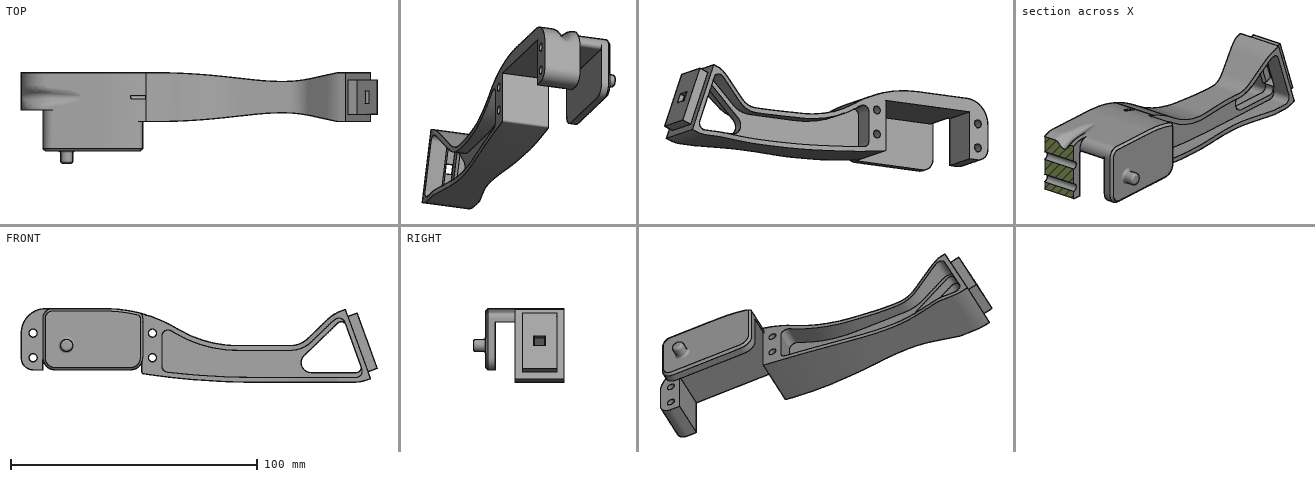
import cadquery as cq
import math

REACH = 0.5

TOTAL_LENGTH = 144.74
TOTAL_WIDTH = 36.9
TOTAL_HEIGHT = 30.0

ARM_WIDTH = 20.0
ARM_MID_Y = -ARM_WIDTH / 2
END_BLOCK_WIDTH = 15.25
WINDOW_LEFT = 8.8
WINDOW_RIGHT = 49.0
WINDOW_TOP = 24.5
ARM_CORNER_RADIUS = 0.8
BLOCK_BOTTOM = 5.0
BLOCK_TOP_RADIUS = 10.0
BLOCK_BOTTOM_RADIUS = 5.0

SCREW_DIAMETER = 3.2
SCREW_XS = (4.85, 53.35)
SCREW_ZS = (10.0, 20.0)

PIN_LENGTH = 5.0
PLATE_FRONT_Y = PIN_LENGTH - TOTAL_WIDTH
PLATE_THICKNESS = 4.0
PLATE_BACK_Y = PLATE_FRONT_Y + PLATE_THICKNESS
PLATE_RIGHT = 49.42
PLATE_TOP_RADIUS = 4.0
PLATE_SMALL_RADIUS = 2.3
PLATE_BOTTOM_RADIUS = 5.0
PLATE_RIM = 1.0
BRIDGE_UNDERSIDE_RADIUS = 1.5

PIN_X = 18.5
PIN_Z = 15.0
PIN_DIAMETER = 5.0
PIN_ROUNDING = 1.0

CREST_START_X = 34.1
CREST_RADIUS = 56.6
CREST_ANGLE = math.radians(30)
SAG_RADIUS = 50.0
NECK_START_X = 88.6
NECK_END_X = 109.5
NECK_Z = 15.0
HEEL_INNER_RADIUS = 10.0
HEEL_OUTER_RADIUS = 15.0
HEEL_ANGLE = math.radians(44)
BELLY_START_X = 95.0
BELLY_RADIUS = 300.0

LEAN = math.radians(20)
FLANGE_LENGTH = 30.0
FLANGE_TOP_Z = 29.65
FLANGE_LIP = 2.0
TOE_RADIUS = 15.0
TAB_MARGIN = 3.0
TAB_LENGTH = FLANGE_LENGTH - 2 * TAB_MARGIN
TAB_WIDTH = 14.0
TAB_THICKNESS = 4.0

CAVITY_LENGTH = 16.0
CAVITY_WIDTH = 4.0
CAVITY_CHAMFER = 1.0
CAVITY_DEPTH = 4.0
TAB_WINDOW_LENGTH = 4.0
TAB_WINDOW_WIDTH = 5.0

WAIST_START_X = 53.2
WAIST_TAPER_START_X = 82.5
WAIST_TAPER_END_X = 94.8
WAIST_MID_X = 106.5
WAIST_FLARE_START_X = 116.8
WAIST_FLARE_END_X = 128.7
WAIST_TAPER_START_HALF = 8.4
WAIST_TAPER_END_HALF = 7.05
WAIST_MID_HALF = 6.4
WAIST_FLARE_START_HALF = 7.4

RIM = 2.0
RECESS_LEFT = 57.2
RECESS_RADIUS = 2.5
WEB_THICKNESS = 4.0
OPENING_MARGIN = 4.0
OPENING_LEFT_RADIUS = 4.0
OPENING_RADIUS = 2.0

GROOVE_RADIUS = 2.5
GROOVE_EDGE_RADIUS = 3.0
GROOVE_TIP_X = 25.0
GROOVE_BEND_X = 11.6
GROOVE_SLOPE = math.radians(7)
GROOVE_BEND_RADIUS = 20.0
GROOVE_BEND_ANGLE = math.radians(55)
GROOVE_LEAD = 10.0

CHANNEL_DIAMETER = 1.5
CHANNEL_START_X = 45.1
CHANNEL_AXIS_LIFT = 0.35
CHANNEL_END_X = 50.7
LEDGE_END_X = 52.0
LEDGE_DEPTH = 0.15



def shifted(point, distance, angle):
    """Point moved by a distance in the direction of an angle, in the XZ plane."""
    return (point[0] + distance * math.cos(angle), point[1] + distance * math.sin(angle))


def arc_run(radius, flat_angle, steep_angle):
    """Run and rise along an arc whose slope changes between two angles."""
    run = radius * (math.sin(steep_angle) - math.sin(flat_angle))
    rise = radius * (math.cos(flat_angle) - math.cos(steep_angle))
    return run, rise


def crossing(point_a, angle_a, point_b, angle_b):
    """Point where two lines in the XZ plane cross."""
    gap_x = point_b[0] - point_a[0]
    gap_z = point_b[1] - point_a[1]
    span = math.sin(angle_b - angle_a)
    return shifted(point_a, (gap_x * math.sin(angle_b) - gap_z * math.cos(angle_b)) / span, angle_a)


DOWN_FLANGE = LEAN - math.pi / 2
FLANGE_TOP_X = (TOTAL_LENGTH - (FLANGE_LENGTH - TAB_MARGIN) * math.sin(LEAN)
                - TAB_THICKNESS * math.cos(LEAN))
FLANGE_TOP = (FLANGE_TOP_X, FLANGE_TOP_Z)
FLANGE_BOTTOM = shifted(FLANGE_TOP, FLANGE_LENGTH, DOWN_FLANGE)

CREST_RUN, CREST_DROP = arc_run(CREST_RADIUS, 0, CREST_ANGLE)
CREST_END = (CREST_START_X + CREST_RUN, TOTAL_HEIGHT - CREST_DROP)
SAG_RUN, SAG_DROP = arc_run(SAG_RADIUS, 0, CREST_ANGLE)
SAG_START = (NECK_START_X - SAG_RUN, NECK_Z + SAG_DROP)
HEEL_INNER_RUN, HEEL_INNER_RISE = arc_run(HEEL_INNER_RADIUS, 0, HEEL_ANGLE)
HEEL_START = (NECK_END_X + HEEL_INNER_RUN, NECK_Z + HEEL_INNER_RISE)
HEEL_ARC_END = shifted(FLANGE_TOP, -FLANGE_LIP, LEAN)
HEEL_OUTER_RUN, HEEL_OUTER_RISE = arc_run(HEEL_OUTER_RADIUS, LEAN, HEEL_ANGLE)
HEEL_END = (HEEL_ARC_END[0] - HEEL_OUTER_RUN, HEEL_ARC_END[1] - HEEL_OUTER_RISE)
TOE_RUN, TOE_RISE = arc_run(TOE_RADIUS, 0, LEAN)
TOE_ARC_END = shifted(FLANGE_BOTTOM, -(FLANGE_BOTTOM[1] - TOE_RISE) / math.sin(LEAN), LEAN)
TOE_START_X = TOE_ARC_END[0] - TOE_RUN


def belly_z(x):
    """Height of the arched underside of the arm."""
    return BELLY_RADIUS - math.sqrt(BELLY_RADIUS**2 - (BELLY_START_X - x) ** 2)


def crest_z(x):
    """Height of the crest where it falls towards the arm."""
    return TOTAL_HEIGHT - CREST_RADIUS + math.sqrt(CREST_RADIUS**2 - (x - CREST_START_X) ** 2)


def prism(sketch, front_y, back_y):
    """Closed XZ outline turned into a solid between two Y positions."""
    return sketch.extrude(back_y - front_y).translate((0, back_y, 0))


def corner_at(point):
    """Selector for the edges along Y that pass close to a point of the XZ plane."""
    x, z = point
    return cq.selectors.BoxSelector(
        (x - REACH, -TOTAL_WIDTH, z - REACH), (x + REACH, 0, z + REACH))


def arm_edge(sketch):
    """Continue an outline from the end of the crest, round the arm, to the belly's near tangent."""
    return (
        sketch.lineTo(*SAG_START)
        .tangentArcPoint((NECK_START_X, NECK_Z), relative=False)
        .lineTo(NECK_END_X, NECK_Z)
        .tangentArcPoint(HEEL_START, relative=False)
        .lineTo(*HEEL_END)
        .tangentArcPoint(HEEL_ARC_END, relative=False)
        .lineTo(*FLANGE_TOP)
        .lineTo(*FLANGE_BOTTOM)
        .lineTo(*TOE_ARC_END)
        .tangentArcPoint((TOE_START_X, 0), relative=False)
        .lineTo(BELLY_START_X, 0)
    )


def frame():
    """End block, bridge and arm in one outline, with the end block narrower than the arm."""
    corner = BLOCK_TOP_RADIUS
    sketch = (
        cq.Workplane("XZ")
        .moveTo(0, BLOCK_BOTTOM + BLOCK_BOTTOM_RADIUS)
        .lineTo(0, TOTAL_HEIGHT - corner)
        .tangentArcPoint((corner, TOTAL_HEIGHT), relative=False)
        .lineTo(CREST_START_X, TOTAL_HEIGHT)
        .tangentArcPoint(CREST_END, relative=False)
    )
    sketch = (
        arm_edge(sketch)
        .tangentArcPoint((WINDOW_RIGHT, belly_z(WINDOW_RIGHT)), relative=False)
        .lineTo(WINDOW_RIGHT, WINDOW_TOP)
        .lineTo(WINDOW_LEFT, WINDOW_TOP)
        .lineTo(WINDOW_LEFT, BLOCK_BOTTOM)
        .lineTo(BLOCK_BOTTOM_RADIUS, BLOCK_BOTTOM)
        .tangentArcPoint((0, BLOCK_BOTTOM + BLOCK_BOTTOM_RADIUS), relative=False)
        .close()
    )
    arm_corner = corner_at((WINDOW_RIGHT, belly_z(WINDOW_RIGHT)))
    body = prism(sketch, -ARM_WIDTH, 0)
    body = body.edges("|Y").edges(arm_corner).fillet(ARM_CORNER_RADIUS)
    step = cq.Workplane("XY").box(CREST_START_X, ARM_WIDTH - END_BLOCK_WIDTH, TOTAL_HEIGHT, centered=False)
    return body.cut(step.translate((0, -ARM_WIDTH, 0)))


def waist_half(side):
    """Half of the plan outline; side is +1 or -1."""
    def at(x, half):
        return (x, ARM_MID_Y + side * half)

    half_width = ARM_WIDTH / 2
    return (
        cq.Workplane("XY")
        .moveTo(0, ARM_MID_Y)
        .lineTo(*at(0, half_width))
        .lineTo(*at(WAIST_START_X, half_width))
        .tangentArcPoint(at(WAIST_TAPER_START_X, WAIST_TAPER_START_HALF), relative=False)
        .lineTo(*at(WAIST_TAPER_END_X, WAIST_TAPER_END_HALF))
        .tangentArcPoint(at(WAIST_MID_X, WAIST_MID_HALF), relative=False)
        .tangentArcPoint(at(WAIST_FLARE_START_X, WAIST_FLARE_START_HALF), relative=False)
        .lineTo(*at(WAIST_FLARE_END_X, half_width))
        .lineTo(*at(TOTAL_LENGTH, half_width))
        .lineTo(TOTAL_LENGTH, ARM_MID_Y)
        .close()
        .extrude(TOTAL_HEIGHT)
    )


def recess():
    """Recess shape inside the arm's rim, as deep as the whole arm."""
    left = RECESS_LEFT - RIM
    mid_x = (left + CREST_END[0]) / 2
    sketch = (
        cq.Workplane("XZ")
        .moveTo(left, crest_z(left))
        .threePointArc((mid_x, crest_z(mid_x)), CREST_END)
    )
    sketch = (
        arm_edge(sketch)
        .tangentArcPoint((left, belly_z(left)), relative=False)
        .close()
        .offset2D(-RIM - RECESS_RADIUS)
        .offset2D(RECESS_RADIUS)
    )
    return prism(sketch, -ARM_WIDTH, 0)


def web():
    """Thin wall left standing between the two recesses."""
    return cq.Workplane("XY").box(
        TOTAL_LENGTH, WEB_THICKNESS, TOTAL_HEIGHT, centered=(False, True, False)
    ).translate((0, ARM_MID_Y, 0))


def opening():
    """Three-cornered opening through the web below the heel."""
    slope_point = shifted(HEEL_START, OPENING_MARGIN, HEEL_ANGLE - math.pi / 2)
    flange_point = shifted(FLANGE_TOP, -RIM, LEAN)
    floor_point = (0, OPENING_MARGIN)
    corners = [
        crossing(floor_point, 0, slope_point, HEEL_ANGLE),
        crossing(slope_point, HEEL_ANGLE, flange_point, DOWN_FLANGE),
        crossing(floor_point, 0, flange_point, DOWN_FLANGE),
    ]
    block = prism(cq.Workplane("XZ").polyline(corners).close(), -ARM_WIDTH, 0)
    for corner, radius in zip(corners, (OPENING_LEFT_RADIUS, OPENING_RADIUS, OPENING_RADIUS)):
        block = block.edges("|Y").edges(corner_at(corner)).fillet(radius)
    return block


def flange_plane(distance):
    """Work plane on the flange face, centred on the arm, at a distance down from the flange top."""
    x, z = shifted(FLANGE_TOP, distance, DOWN_FLANGE)
    return cq.Workplane(cq.Plane(
        origin=(x, ARM_MID_Y, z), xDir=(0, 1, 0), normal=(math.cos(LEAN), 0, math.sin(LEAN))))


def tab():
    """Rectangular tab on the flange."""
    return flange_plane(FLANGE_LENGTH / 2).rect(TAB_WIDTH, TAB_LENGTH).extrude(TAB_THICKNESS)


def tab_slot():
    """Slot from the opening out through flange and tab, with slanted sides at its inner mouth."""
    inner_face = flange_plane(FLANGE_LENGTH / 2).workplane(offset=-RIM)
    cavity = inner_face.rect(CAVITY_WIDTH, CAVITY_LENGTH).extrude(CAVITY_DEPTH)
    half = CAVITY_WIDTH / 2
    wedge = (
        cq.Workplane("XY")
        .polyline([
            (0, -half - CAVITY_CHAMFER),
            (0, half + CAVITY_CHAMFER),
            (CAVITY_CHAMFER, half),
            (CAVITY_CHAMFER, -half),
        ])
        .close()
        .extrude(CAVITY_LENGTH / 2, both=True)
        .rotate((0, 0, 0), (0, 1, 0), -math.degrees(LEAN))
        .translate(inner_face.plane.origin.toTuple())
    )
    window = (
        inner_face.workplane(offset=CAVITY_DEPTH)
        .rect(TAB_WINDOW_WIDTH, TAB_WINDOW_LENGTH)
        .extrude(RIM + TAB_THICKNESS - CAVITY_DEPTH)
    )
    return cavity.union(wedge).union(window)


def plate_outline():
    """Outline of the plate: its top edge follows the crest of the handle."""
    return (
        cq.Workplane("XZ")
        .moveTo(WINDOW_LEFT, BLOCK_BOTTOM)
        .lineTo(WINDOW_LEFT, TOTAL_HEIGHT)
        .lineTo(CREST_START_X, TOTAL_HEIGHT)
        .tangentArcPoint((PLATE_RIGHT, crest_z(PLATE_RIGHT)), relative=False)
        .lineTo(PLATE_RIGHT, BLOCK_BOTTOM)
        .close()
    )


def bridge_and_plate():
    """Plate hanging in front of the window from a bridge that reaches back to the frame."""
    block = prism(plate_outline(), PLATE_FRONT_Y, -END_BLOCK_WIDTH)
    block = block.edges("|Y").edges(corner_at((WINDOW_LEFT, TOTAL_HEIGHT))).fillet(PLATE_TOP_RADIUS)
    block = block.edges("|Y").edges(corner_at((PLATE_RIGHT, crest_z(PLATE_RIGHT)))).fillet(PLATE_SMALL_RADIUS)
    block = block.edges("|Y").edges("<Z").fillet(PLATE_BOTTOM_RADIUS)
    block = block.faces("<Y").edges().chamfer(PLATE_RIM)
    lip = BRIDGE_UNDERSIDE_RADIUS
    gap = (
        cq.Workplane("XZ")
        .lineTo(TOTAL_LENGTH, 0)
        .lineTo(TOTAL_LENGTH, WINDOW_TOP)
        .lineTo(WINDOW_LEFT + lip, WINDOW_TOP)
        .radiusArc((WINDOW_LEFT, WINDOW_TOP + lip), lip)
        .lineTo(0, WINDOW_TOP + lip)
        .close()
    )
    return block.cut(prism(gap, PLATE_BACK_Y, -END_BLOCK_WIDTH))


def pin():
    """Round pin on the plate, flared at its foot and rounded at its end."""
    radius = PIN_DIAMETER / 2
    profile = (
        cq.Workplane("XY")
        .lineTo(radius + PIN_ROUNDING, 0)
        .radiusArc((radius, -PIN_ROUNDING), -PIN_ROUNDING)
        .lineTo(radius, PIN_ROUNDING - PIN_LENGTH)
        .radiusArc((radius - PIN_ROUNDING, -PIN_LENGTH), PIN_ROUNDING)
        .lineTo(0, -PIN_LENGTH)
        .close()
    )
    return profile.revolve(360, (0, 0, 0), (0, 1, 0)).translate((PIN_X, PLATE_FRONT_Y, PIN_Z))


def screw_holes():
    """Holes through the frame on both sides of the window."""
    centres = [(x, z) for x in SCREW_XS for z in SCREW_ZS]
    holes = cq.Workplane("XZ").pushPoints(centres).circle(SCREW_DIAMETER / 2)
    return prism(holes, -ARM_WIDTH, 0)


def groove():
    """Round tube along the groove's path: straight down from its tip, then bending to the end face."""
    above = math.pi / 2 + GROOVE_SLOPE
    tip = shifted((GROOVE_TIP_X, TOTAL_HEIGHT), GROOVE_RADIUS, above)
    start = shifted(tip, GROOVE_LEAD, GROOVE_SLOPE)
    bend = shifted(tip, -(tip[0] - GROOVE_BEND_X) / math.cos(GROOVE_SLOPE), GROOVE_SLOPE)
    centre = shifted(bend, -GROOVE_BEND_RADIUS, above)
    middle = shifted(centre, GROOVE_BEND_RADIUS, above + GROOVE_BEND_ANGLE / 2)
    end = shifted(centre, GROOVE_BEND_RADIUS, above + GROOVE_BEND_ANGLE)
    path = cq.Workplane("XZ").moveTo(*start).lineTo(*bend).threePointArc(middle, end)
    plane = cq.Plane(
        origin=(start[0], 0, start[1]), xDir=(0, 1, 0),
        normal=(-math.cos(GROOVE_SLOPE), 0, -math.sin(GROOVE_SLOPE)))
    return cq.Workplane(plane).circle(GROOVE_RADIUS).sweep(path).translate((0, ARM_MID_Y, 0))


def channel():
    """Shallow round channel along the crest with a ball-shaped start."""
    rise = crest_z(CHANNEL_END_X) - crest_z(CHANNEL_START_X)
    run = CHANNEL_END_X - CHANNEL_START_X
    start = cq.Vector(CHANNEL_START_X, ARM_MID_Y, crest_z(CHANNEL_START_X) + CHANNEL_AXIS_LIFT)
    radius = CHANNEL_DIAMETER / 2
    rod = cq.Solid.makeCylinder(radius, math.hypot(run, rise), start, cq.Vector(run, 0, rise))
    ball = cq.Workplane("XY").sphere(radius).translate(start)
    return ball.union(cq.Workplane(rod))


def ledge():
    """Shallow step across the crest where the channel ends."""
    low = crest_z(CHANNEL_END_X) - LEDGE_DEPTH
    profile = (
        cq.Workplane("XZ")
        .moveTo(CHANNEL_END_X, TOTAL_HEIGHT)
        .lineTo(CHANNEL_END_X, low)
        .lineTo(LEDGE_END_X, crest_z(LEDGE_END_X))
        .lineTo(LEDGE_END_X, TOTAL_HEIGHT)
        .close()
    )
    return prism(profile, -ARM_WIDTH, 0)


def with_groove(body):
    """Body with the groove cut into it and the groove's mouth rounded."""
    reach_y = GROOVE_RADIUS + REACH
    around = cq.selectors.BoxSelector(
        (-REACH, ARM_MID_Y - reach_y, BLOCK_BOTTOM),
        (GROOVE_TIP_X, ARM_MID_Y + reach_y, TOTAL_HEIGHT + REACH))
    mouth = body.cut(groove()).edges(around).edges("%BSPLINE or %ELLIPSE")
    return mouth.fillet(GROOVE_EDGE_RADIUS)


arm_plan = waist_half(1).union(waist_half(-1))
result = frame().intersect(arm_plan)
result = result.cut(recess().cut(web())).cut(opening())
result = result.union(tab()).cut(tab_slot())
result = result.union(bridge_and_plate()).union(pin()).cut(screw_holes())
result = with_groove(result)
result = result.cut(channel()).cut(ledge())